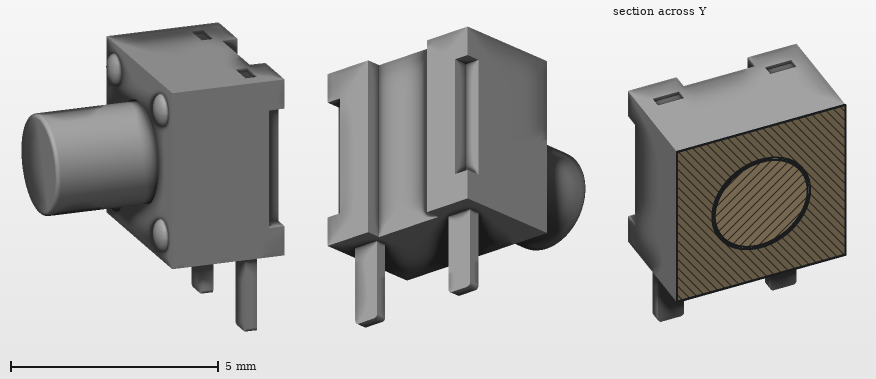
import cadquery as cq

WIDTH = 4.51
HEIGHT = 4.5
HOUSING_DEPTH = 2.65
COVER_THICKNESS = 0.25

RECESS_DEPTH = 0.4
CHANNEL_WIDTH = 1.9
SIDE_NOTCH_HEIGHT = 3.0

TERMINAL_PITCH = 3.0
TERMINAL_WIDTH = 0.7
TERMINAL_THICKNESS = 0.3
TERMINAL_LENGTH = 2.0
TERMINAL_BACK_OFFSET = 0.55
TERMINAL_TIP_RADIUS = 0.1
SLOT_DEPTH = 0.1

BUTTON_DIAMETER = 2.5
BUTTON_PROJECTION = 2.6
BUTTON_EDGE_RADIUS = 0.1
COVER_HOLE_DIAMETER = 2.6

RIVET_PITCH = 3.2
RIVET_RADIUS = 0.4
RIVET_HEIGHT = 0.2

CENTER_X = WIDTH / 2
CENTER_Z = HEIGHT / 2
COVER_BACK_Y = -HOUSING_DEPTH
COVER_FRONT_Y = COVER_BACK_Y - COVER_THICKNESS
TERMINAL_Y = -(TERMINAL_BACK_OFFSET + TERMINAL_THICKNESS / 2)
TERMINAL_XS = [CENTER_X + side * TERMINAL_PITCH / 2 for side in (-1, 1)]


def cylinder_toward_front(diameter, back_y, length):
    """Cylinder on the button axis, running from back_y toward -Y."""
    plane = cq.Workplane("XZ", origin=(CENTER_X, back_y, CENTER_Z))
    return plane.circle(diameter / 2).extrude(length)


def housing_block():
    """Plain block with a channel up its back and a blind notch in each side."""
    block = cq.Workplane("XY").box(WIDTH, HOUSING_DEPTH, HEIGHT, centered=False)
    block = block.translate((0, -HOUSING_DEPTH, 0))
    recess_y = -RECESS_DEPTH / 2
    channel = cq.Workplane("XY").box(CHANNEL_WIDTH, RECESS_DEPTH, HEIGHT)
    block = block.cut(channel.translate((CENTER_X, recess_y, CENTER_Z)))
    notch = cq.Workplane("XY").box(RECESS_DEPTH, RECESS_DEPTH, SIDE_NOTCH_HEIGHT)
    for notch_x in (RECESS_DEPTH / 2, WIDTH - RECESS_DEPTH / 2):
        block = block.cut(notch.translate((notch_x, recess_y, CENTER_Z)))
    return block


def terminal_slot(x):
    """Shallow slot in the housing top, in line with a terminal."""
    slot = cq.Workplane("XY").box(TERMINAL_WIDTH, TERMINAL_THICKNESS, SLOT_DEPTH)
    return slot.translate((x, TERMINAL_Y, HEIGHT - SLOT_DEPTH / 2))


def terminal(x):
    """Flat leg below the housing, with its two lower corners rounded."""
    leg = cq.Workplane("XY").box(TERMINAL_WIDTH, TERMINAL_THICKNESS, TERMINAL_LENGTH)
    leg = leg.edges("|Y and <Z").fillet(TERMINAL_TIP_RADIUS)
    return leg.translate((x, TERMINAL_Y, -TERMINAL_LENGTH / 2))


def button():
    """Round button standing on the housing front and reaching out through the cover."""
    length = COVER_THICKNESS + BUTTON_PROJECTION
    shaft = cylinder_toward_front(BUTTON_DIAMETER, COVER_BACK_Y, length)
    return shaft.faces("<Y").edges().fillet(BUTTON_EDGE_RADIUS)


def make_housing():
    """Housing with its terminals and button, as one solid."""
    housing = housing_block()
    for x in TERMINAL_XS:
        housing = housing.cut(terminal_slot(x)).union(terminal(x))
    return housing.union(button())


def rivet_head(x, z):
    """Domed head: a quarter ellipse turned about its axis, with its flat side on the cover."""
    profile = (
        cq.Workplane("XY", origin=(x, COVER_FRONT_Y, z))
        .moveTo(0, -RIVET_HEIGHT)
        .ellipseArc(RIVET_RADIUS, RIVET_HEIGHT, 270, 360)
        .lineTo(0, 0)
        .close()
    )
    return profile.revolve(360, (0, 0, 0), (0, 1, 0))


def make_cover():
    """Front plate with a clearance hole for the button and four rivet heads."""
    cover = cq.Workplane("XY").box(WIDTH, COVER_THICKNESS, HEIGHT, centered=False)
    cover = cover.translate((0, COVER_FRONT_Y, 0))
    cover = cover.cut(cylinder_toward_front(COVER_HOLE_DIAMETER, COVER_BACK_Y, COVER_THICKNESS))
    for side_x in (-1, 1):
        for side_z in (-1, 1):
            x = CENTER_X + side_x * RIVET_PITCH / 2
            z = CENTER_Z + side_z * RIVET_PITCH / 2
            cover = cover.union(rivet_head(x, z))
    return cover


housing = make_housing()
cover = make_cover()
result = cq.Compound.makeCompound([housing.val(), cover.val()])